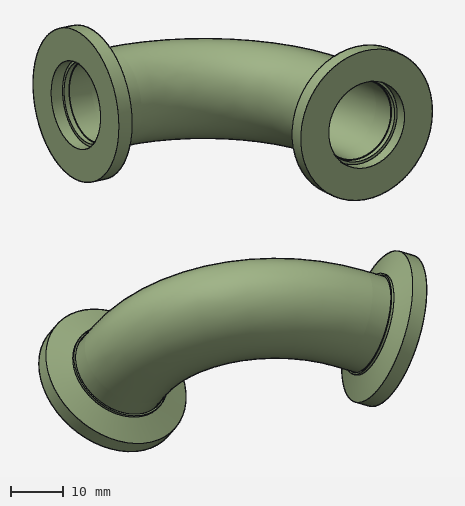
import cadquery as cq

overall_length = 55.0
flange_diameter = 30.0
leg_length = overall_length - flange_diameter / 2

rim_thickness = 3.0
cone_end = 4.5
flange_length = 5.0
collar_diameter = 20.0
mouth_diameter = 17.2
mouth_depth = 2.6
lip_diameter = 16.1
lip_thickness = 1.1
socket_diameter = 19.3

tube_outer_diameter = 19.1
tube_inner_diameter = 15.8
straight_end = 8.8
tube_start = mouth_depth + lip_thickness
bend_radius = leg_length - straight_end

axis_x = flange_diameter / 2
axis_y = leg_length
front_mouth = cq.Plane(origin=(axis_x, 0, 0), xDir=(1, 0, 0), normal=(0, 1, 0))
side_mouth = cq.Plane(origin=(overall_length, axis_y, 0), xDir=(0, 1, 0), normal=(-1, 0, 0))


def make_flange(mouth_plane):
    """Revolve the flange section, given as (radius, depth), about the mouth axis."""
    section = [
        (mouth_diameter / 2, 0),
        (flange_diameter / 2, 0),
        (flange_diameter / 2, rim_thickness),
        (collar_diameter / 2, cone_end),
        (collar_diameter / 2, flange_length),
        (socket_diameter / 2, flange_length),
        (socket_diameter / 2, tube_start),
        (lip_diameter / 2, tube_start),
        (lip_diameter / 2, mouth_depth),
        (mouth_diameter / 2, mouth_depth),
    ]
    profile = cq.Workplane("XY").polyline(section).close()
    flange = profile.revolve(360, (0, 0), (0, 1)).rotate((0, 0, 0), (1, 0, 0), 90)
    return flange.val().moved(cq.Location(mouth_plane))


def make_tube():
    """Sweep a ring along a straight leg, a quarter bend and a second straight leg."""
    bend_centre = (axis_x + bend_radius, axis_y - bend_radius)
    bend_rise = bend_radius * 0.5 ** 0.5
    bend_middle = (bend_centre[0] - bend_rise, bend_centre[1] + bend_rise)
    path = (
        cq.Workplane("XY")
        .moveTo(axis_x, tube_start)
        .lineTo(axis_x, straight_end)
        .threePointArc(bend_middle, (bend_centre[0], axis_y))
        .lineTo(overall_length - tube_start, axis_y)
    )
    ring = (
        cq.Workplane(front_mouth)
        .workplane(offset=tube_start)
        .circle(tube_outer_diameter / 2)
        .circle(tube_inner_diameter / 2)
    )
    return ring.sweep(path).val()


flanges = [make_flange(mouth) for mouth in (front_mouth, side_mouth)]
tube = make_tube()

result = cq.Compound.makeCompound([*flanges, tube])